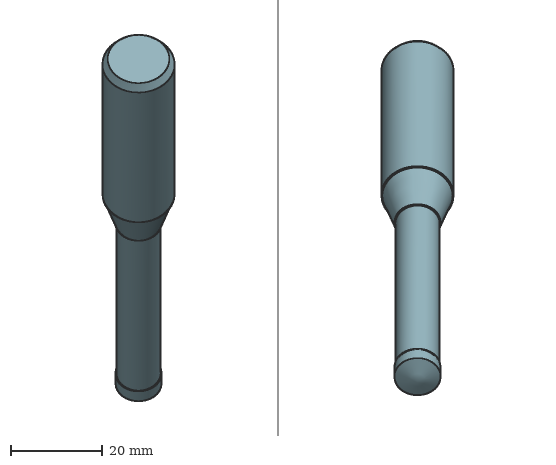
import cadquery as cq

overall_length = 116.8
shank_diameter = 15.9
shank_length = 48.1
chamfer_width = 1.2
chamfer_height = 1.9
taper_length = 10.2
taper_bevel = 0.2
neck_diameter = 9.7
tip_diameter = 10.2
point_height = 1.9
tip_land_length = 3.5

tip_top = point_height + tip_land_length
shank_bottom = overall_length - shank_length
taper_bottom = shank_bottom - taper_length
shank_radius = shank_diameter / 2
neck_radius = neck_diameter / 2
tip_radius = tip_diameter / 2


def revolve_profile(points):
    """Turn a closed (radius, height) outline about the Z axis."""
    return cq.Workplane("XZ").polyline(points).close().revolve(360, (0, 0), (0, 1))


def make_holder():
    """Chamfered shank, taper bevelled at both ends and slender neck, ending on the cutting tip."""
    return revolve_profile([
        (0, tip_top),
        (neck_radius, tip_top),
        (neck_radius, taper_bottom),
        (neck_radius + taper_bevel, taper_bottom + taper_bevel),
        (shank_radius - taper_bevel, shank_bottom),
        (shank_radius, shank_bottom + taper_bevel),
        (shank_radius, overall_length - chamfer_height),
        (shank_radius - chamfer_width, overall_length),
        (0, overall_length),
    ])


def make_cutting_tip():
    """Short cylindrical land with a shallow conical point."""
    return revolve_profile([
        (0, 0),
        (tip_radius, point_height),
        (tip_radius, tip_top),
        (0, tip_top),
    ])


holder = make_holder()
cutting_tip = make_cutting_tip()

result = cq.Compound.makeCompound([holder.val(), cutting_tip.val()])